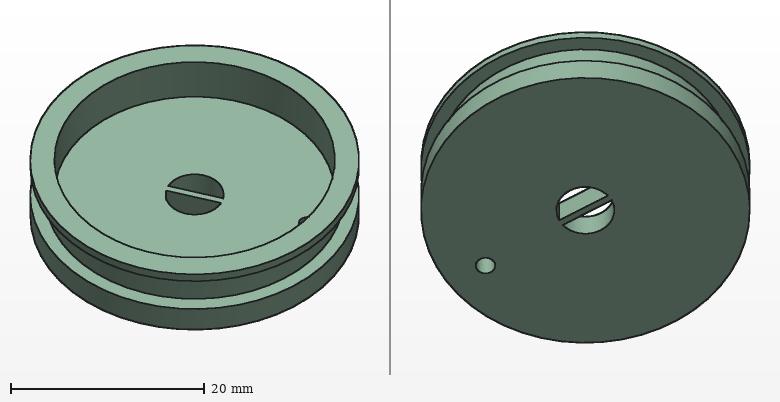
import cadquery as cq

outer_diameter = 34.0
groove_diameter = 31.0
height = 8.0
lower_flange_height = 3.0
upper_flange_height = 1.0

pocket_diameter = 29.0
floor_thickness = 3.0

center_hole_diameter = 6.0
bar_width = 0.7

pin_hole_diameter = 2.0
pin_hole_x = 12.5
pin_hole_y = -0.5


def cylinder(diameter, bottom, top):
    """Upright cylinder on the Z axis between two heights."""
    return cq.Workplane("XY").workplane(offset=bottom).circle(diameter / 2).extrude(top - bottom)


def grooved_body():
    """Two flanges joined by a narrower core."""
    lower_flange = cylinder(outer_diameter, 0, lower_flange_height)
    core = cylinder(groove_diameter, 0, height)
    upper_flange = cylinder(outer_diameter, height - upper_flange_height, height)
    return lower_flange.union(core).union(upper_flange)


def split_center_hole():
    """Cutter for the central hole, leaving the bar across its middle."""
    hole = cylinder(center_hole_diameter, 0, floor_thickness)
    bar = cq.Workplane("XY").box(
        center_hole_diameter, bar_width, floor_thickness, centered=(True, True, False)
    )
    return hole.cut(bar)


pocket = cylinder(pocket_diameter, floor_thickness, height)
pin_hole = cylinder(pin_hole_diameter, 0, floor_thickness).translate((pin_hole_x, pin_hole_y, 0))

result = grooved_body().cut(pocket).cut(split_center_hole()).cut(pin_hole)